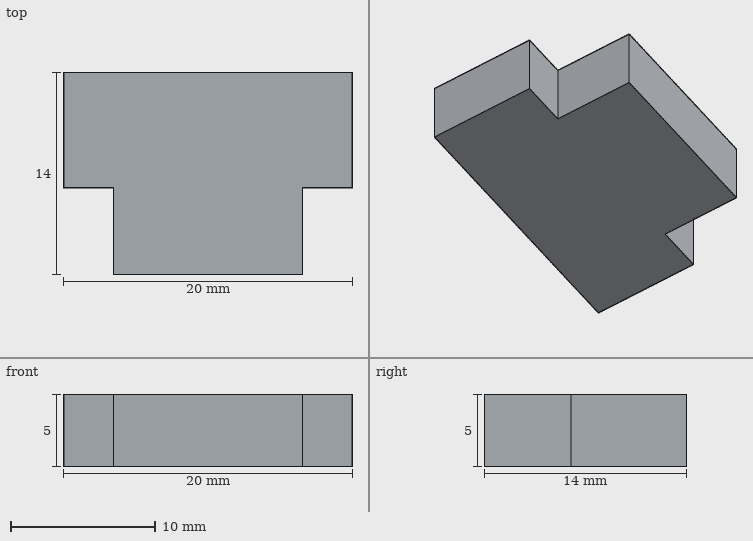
import cadquery as cq

bar_width = 20.0
total_depth = 14.0
height = 5.0

bar_depth = 8.0
stem_width = 13.1
stem_depth = total_depth - bar_depth

stem = cq.Workplane("XY").box(stem_width, stem_depth, height, centered=(True, False, False))
bar = (
    cq.Workplane("XY")
    .workplane(origin=(0, stem_depth, 0))
    .box(bar_width, bar_depth, height, centered=(True, False, False))
)

result = bar.union(stem)